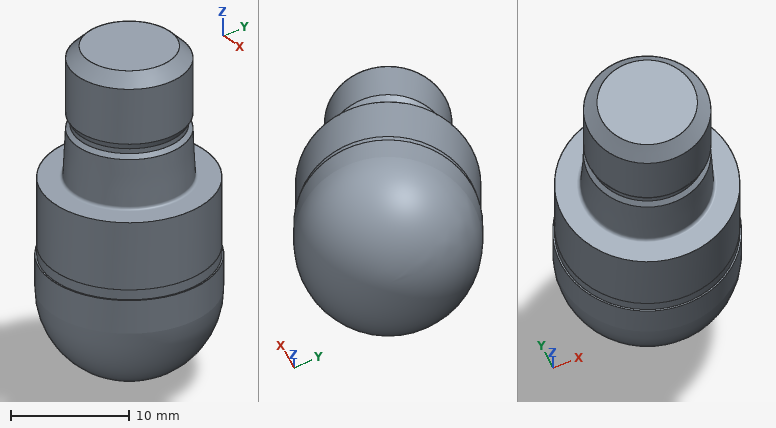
import cadquery as cq


nose_radius = 8.0
nose_band_height = 3.25
lip_height = 0.95

collar_radius = 7.85
collar_height = 7.5

total_height = 31.5
shank_radius = 5.4
shank_chamfer = 1.15
head_height = 6.5
groove_depth = 0.375
groove_upper_slope = 0.65
groove_floor = 0.475
neck_base_radius = 5.62
root_fillet = 0.3

ledge_z = nose_radius + nose_band_height
joint_z = ledge_z + lip_height
shoulder_z = ledge_z + collar_height
groove_top_z = total_height - head_height
floor_top_z = groove_top_z - groove_upper_slope
floor_bottom_z = floor_top_z - groove_floor
neck_top_z = floor_bottom_z - groove_depth


def turn(half_profile):
    """Revolve a closed half profile of radius and height about the Z axis."""
    return half_profile.revolve(360, (0, 0, 0), (0, 1, 0))


def make_cap():
    """Hemispherical nose with a straight band and a slightly narrower lip on top."""
    half_profile = (
        cq.Workplane("YZ")
        .moveTo(0, 0)
        .radiusArc((nose_radius, nose_radius), -nose_radius)
        .lineTo(nose_radius, ledge_z)
        .lineTo(collar_radius, ledge_z)
        .lineTo(collar_radius, joint_z)
        .lineTo(0, joint_z)
        .close()
    )
    return turn(half_profile)


def make_stud():
    """Collar seated on the cap, a filleted tapered neck, a groove and a chamfered head."""
    groove_radius = shank_radius - groove_depth
    half_profile = (
        cq.Workplane("YZ")
        .moveTo(0, joint_z)
        .lineTo(collar_radius, joint_z)
        .lineTo(collar_radius, shoulder_z)
        .lineTo(neck_base_radius + root_fillet, shoulder_z)
        .radiusArc((neck_base_radius, shoulder_z + root_fillet), root_fillet)
        .lineTo(shank_radius, neck_top_z)
        .lineTo(groove_radius, floor_bottom_z)
        .lineTo(groove_radius, floor_top_z)
        .lineTo(shank_radius, groove_top_z)
        .lineTo(shank_radius, total_height - shank_chamfer)
        .lineTo(shank_radius - shank_chamfer, total_height)
        .lineTo(0, total_height)
        .close()
    )
    return turn(half_profile)


cap = make_cap()
stud = make_stud()
result = cq.Compound.makeCompound([cap.val(), stud.val()])